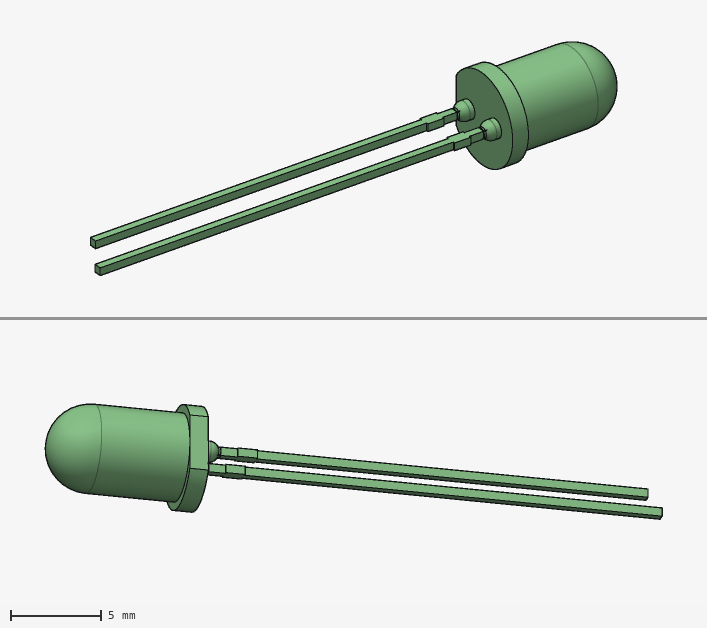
import cadquery as cq
import math

overall_length = 35.6

body_radius = 2.5
flange_radius = 2.95
flange_thickness = 1.07
housing_length = 8.6
dome_base_y = housing_length - body_radius

lead_spacing = 2.55
lead_width = 0.5
stop_width = 0.75
stop_start = 1.92
stop_end = 3.03
long_lead_length = overall_length - housing_length
lead_length_difference = 1.5
short_lead_length = long_lead_length - lead_length_difference

bead_radius = 0.6
bead_collar_length = 0.32
neck_radius = 0.32
neck_end = 0.95


def make_housing():
    """Domed cylinder with a flange that is cut flat, flush with the body, on the -X side."""
    profile = (
        cq.Workplane("XY")
        .lineTo(flange_radius, 0)
        .lineTo(flange_radius, flange_thickness)
        .lineTo(body_radius, flange_thickness)
        .lineTo(body_radius, dome_base_y)
        .radiusArc((0, housing_length), -body_radius)
        .close()
    )
    lamp = profile.revolve(360, (0, 0), (0, 1))
    kept_width = body_radius + flange_radius
    kept_region = cq.Workplane("XY").box(
        kept_width, housing_length, 2 * flange_radius, centered=(False, False, True)
    ).translate((-body_radius, 0, 0))
    return lamp.intersect(kept_region)


def make_lead(x, length):
    """Square wire running from the flange underside, with a wider stop."""
    wire = cq.Workplane("XY").box(lead_width, length, lead_width).translate((x, -length / 2, 0))
    stop_length = stop_end - stop_start
    stop_center_y = -(stop_start + stop_end) / 2
    stop = cq.Workplane("XY").box(stop_width, stop_length, lead_width).translate((x, stop_center_y, 0))
    return wire.union(stop)


def make_bead(x, lead):
    """Short collar, spherical shoulder and narrow neck, pierced by its lead."""
    shoulder_height = math.sqrt(bead_radius**2 - neck_radius**2)
    neck_start_y = -(bead_collar_length + shoulder_height)
    profile = (
        cq.Workplane("XY")
        .lineTo(bead_radius, 0)
        .lineTo(bead_radius, -bead_collar_length)
        .radiusArc((neck_radius, neck_start_y), bead_radius)
        .lineTo(neck_radius, -neck_end)
        .lineTo(0, -neck_end)
        .close()
    )
    bead = profile.revolve(360, (0, 0), (0, 1)).translate((x, 0, 0))
    return bead.cut(lead)


housing = make_housing()
leads = []
beads = []
for lead_x, lead_length in (
    (-lead_spacing / 2, short_lead_length),
    (lead_spacing / 2, long_lead_length),
):
    lead = make_lead(lead_x, lead_length)
    leads.append(lead.val())
    beads.append(make_bead(lead_x, lead).val())

parts = cq.Compound.makeCompound([housing.val(), *leads, *beads])
result = parts.translate(cq.Vector(0, overall_length / 2 - housing_length, 0))